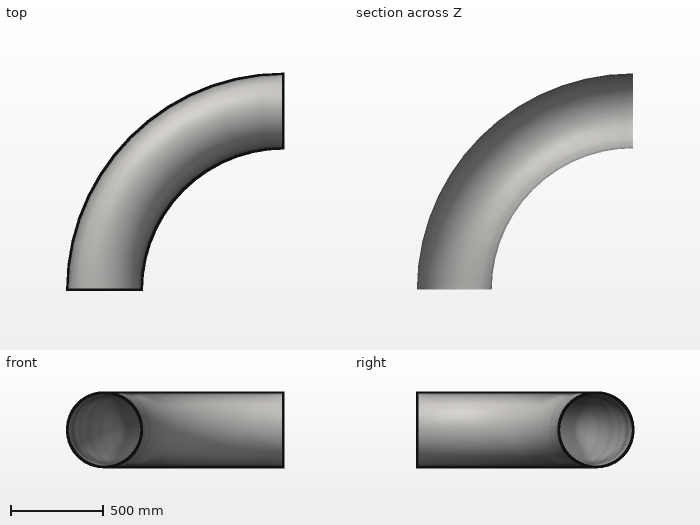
import cadquery as cq

outer_diameter = 406.4
wall_thickness = 3.0
bend_radius = 970.0
bend_angle = 90.0

outer_radius = outer_diameter / 2
inner_radius = outer_radius - wall_thickness


def pipe_elbow():
    """Sweep the pipe ring around a vertical axis.

    The pipe starts at the origin facing -Y and ends facing +X.
    """
    ring = cq.Workplane("XZ").circle(outer_radius).circle(inner_radius)
    axis_start = (bend_radius, 0)
    axis_end = (bend_radius, -outer_radius)
    return ring.revolve(bend_angle, axis_start, axis_end)


result = pipe_elbow()